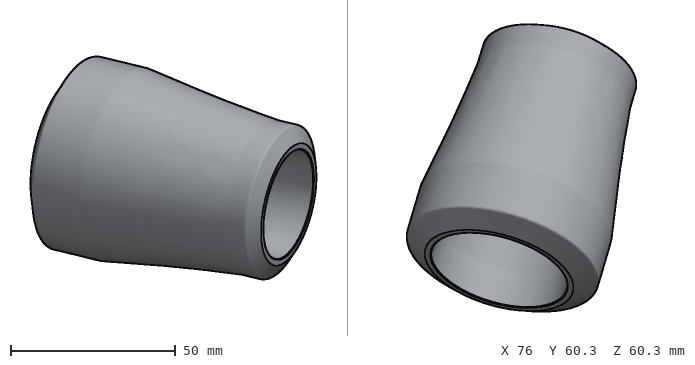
import cadquery as cq
import math

LENGTH = 76.0
LARGE_OUTER_DIAMETER = 60.3
LARGE_BORE_DIAMETER = 42.7
SMALL_OUTER_DIAMETER = 48.3
SMALL_BORE_DIAMETER = 34.1

LARGE_END_LENGTH = 20.0
SMALL_END_LENGTH = 10.0
LARGE_BORE_LENGTH = 12.0
OUTER_TAPER_BOW = -0.4
BORE_TAPER_BOW = 0.4
TAPER_BLEND_LENGTH = 0.2
TAPER_BLEND_DROP = 0.01

LAND_WIDTH = 2.0
BEVEL_ANGLE = 30.0
BEVEL_EDGE_RADIUS = 1.0
MOUTH_CHAMFER = 0.25

large_outer_radius = LARGE_OUTER_DIAMETER / 2
large_bore_radius = LARGE_BORE_DIAMETER / 2
small_outer_radius = SMALL_OUTER_DIAMETER / 2
small_bore_radius = SMALL_BORE_DIAMETER / 2
taper_start = LARGE_END_LENGTH
taper_end = LENGTH - SMALL_END_LENGTH


def revolve_about_axis(profile):
    """Turn a closed half profile, drawn as (axial position, radius), around the X axis."""
    return profile.close().revolve(360, (0, 0, 0), (1, 0, 0))


def bevel_length(outer_radius, bore_radius):
    """Axial length of the bevel from the land to the outer cylinder."""
    return (outer_radius - bore_radius - LAND_WIDTH) * math.tan(math.radians(BEVEL_ANGLE))


def bowed_midpoint(start, end, bow):
    """Middle of the chord from start to end, moved outward from the axis by bow."""
    run = end[0] - start[0]
    rise = end[1] - start[1]
    chord = math.hypot(run, rise)
    middle_x = (start[0] + end[0]) / 2 - bow * rise / chord
    middle_radius = (start[1] + end[1]) / 2 + bow * run / chord
    return (middle_x, middle_radius)


def make_outer_body():
    large_bevel_end = bevel_length(large_outer_radius, large_bore_radius)
    small_bevel_start = LENGTH - bevel_length(small_outer_radius, small_bore_radius)
    taper_large_end = (taper_start, large_outer_radius)
    taper_small_end = (taper_end, small_outer_radius + TAPER_BLEND_DROP)
    taper_middle = bowed_midpoint(taper_large_end, taper_small_end, OUTER_TAPER_BOW)
    profile = (
        cq.Workplane("XY")
        .moveTo(0, 0)
        .lineTo(0, large_bore_radius + LAND_WIDTH)
        .lineTo(large_bevel_end, large_outer_radius)
        .lineTo(*taper_large_end)
        .spline([taper_middle, taper_small_end], includeCurrent=True)
        .lineTo(taper_end + TAPER_BLEND_LENGTH, small_outer_radius)
        .lineTo(small_bevel_start, small_outer_radius)
        .lineTo(LENGTH, small_bore_radius + LAND_WIDTH)
        .lineTo(LENGTH, 0)
    )
    body = revolve_about_axis(profile)
    for bevel_edge_x in (large_bevel_end, small_bevel_start):
        body = round_bevel_edge(body, bevel_edge_x)
    return body


def round_bevel_edge(body, edge_x):
    """Round the circular edge where a bevel meets the outer cylinder."""
    half_width = 0.1
    reach = LARGE_OUTER_DIAMETER
    edge = cq.selectors.BoxSelector(
        (edge_x - half_width, -reach, -reach),
        (edge_x + half_width, reach, reach),
        boundingbox=True,
    )
    return body.edges(edge).fillet(BEVEL_EDGE_RADIUS)


def make_bore():
    taper_large_end = (LARGE_BORE_LENGTH, large_bore_radius)
    taper_small_end = (taper_end, small_bore_radius)
    taper_middle = bowed_midpoint(taper_large_end, taper_small_end, BORE_TAPER_BOW)
    profile = (
        cq.Workplane("XY")
        .moveTo(0, 0)
        .lineTo(0, large_bore_radius + MOUTH_CHAMFER)
        .lineTo(MOUTH_CHAMFER, large_bore_radius)
        .lineTo(*taper_large_end)
        .spline([taper_middle, taper_small_end], includeCurrent=True)
        .lineTo(LENGTH - MOUTH_CHAMFER, small_bore_radius)
        .lineTo(LENGTH, small_bore_radius + MOUTH_CHAMFER)
        .lineTo(LENGTH, 0)
    )
    return revolve_about_axis(profile)


result = make_outer_body().cut(make_bore())